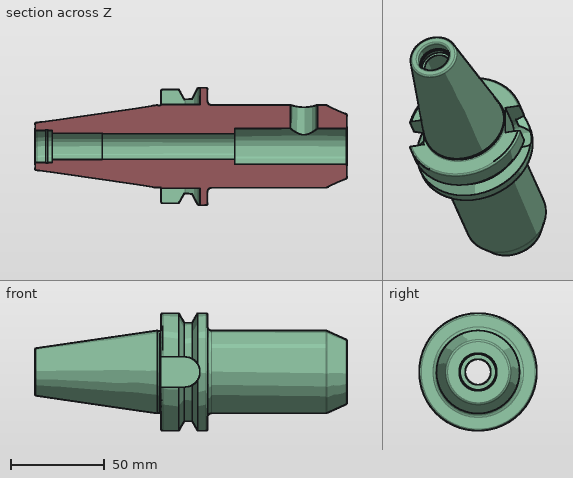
import cadquery as cq
import math


gauge_diameter = 44.45
taper_ratio = 7 / 24
shank_length = 65.4
shank_start = -shank_length
shank_end_diameter = gauge_diameter - shank_length * taper_ratio
shank_rounding = 1.0

relief_diameter = 44.0
relief_run_in = 0.5
relief_run_in_rounding = 1.0
relief_rounding = 0.5

flange_diameter = 63.0
flange_start = 2.0
flange_end = 27.0
flange_rounding = 1.0
groove_center = 16.6
groove_mouth = 10.0
groove_wall_angle = 30.0
groove_floor_diameter = 53.0

slot_width = 16.1
slot_end = 22.9
slot_floor = 22.5

total_length = 167.0
nose_end = shank_start + total_length
body_diameter = gauge_diameter
neck_fillet = 2.0
nose_cone_length = 11.2
nose_end_diameter = 34.3
nose_rounding = 1.2
cone_rounding = 1.0

pilot_diameter = 17.0
pilot_depth = 9.2
pilot_mouth_rounding = 1.0
ring_groove_diameter = 17.6
ring_groove_offset = 5.9
ring_groove_width = 1.1
thread_diameter = 13.84
thread_depth = 36.0
through_diameter = 13.5

tool_diameter = 19.05
tool_mouth_diameter = 20.25
tool_mouth_chamfer = (tool_mouth_diameter - tool_diameter) / 2
tool_depth = 60.0

screw_diameter = 14.35
screw_position = 78.5


def unit_vector(start, end):
    """Return the unit vector that points from start to end."""
    length = math.dist(start, end)
    return ((end[0] - start[0]) / length, (end[1] - start[1]) / length)


def revolve_profile(corners):
    """Revolve a profile about X.

    Each corner is (x, diameter) or (x, diameter, rounding radius).
    The first and the last corner lie on the axis.
    """
    points = [(corner[0], corner[1] / 2) for corner in corners]
    profile = cq.Workplane("XZ").moveTo(*points[0])
    for index in range(1, len(corners)):
        x, radius = points[index]
        if len(corners[index]) == 2:
            profile = profile.lineTo(x, radius)
            continue
        rounding = corners[index][2]
        back = unit_vector(points[index], points[index - 1])
        ahead = unit_vector(points[index], points[index + 1])
        half_angle = math.acos(back[0] * ahead[0] + back[1] * ahead[1]) / 2
        setback = rounding / math.tan(half_angle)
        to_middle = rounding / math.sin(half_angle) - rounding
        inward = unit_vector((0, 0), (back[0] + ahead[0], back[1] + ahead[1]))
        arc_start = (x + setback * back[0], radius + setback * back[1])
        arc_middle = (x + to_middle * inward[0], radius + to_middle * inward[1])
        arc_end = (x + setback * ahead[0], radius + setback * ahead[1])
        profile = profile.lineTo(*arc_start).threePointArc(arc_middle, arc_end)
    return profile.close().revolve(360, (0, 0, 0), (1, 0, 0))


def make_holder():
    """Make the solid outside shape of the holder."""
    half_mouth = groove_mouth / 2
    wall_depth = (flange_diameter - groove_floor_diameter) / 2
    half_floor = half_mouth - wall_depth * math.tan(math.radians(groove_wall_angle))
    return revolve_profile([
        (shank_start, 0),
        (shank_start, shank_end_diameter, shank_rounding),
        (0, gauge_diameter),
        (relief_run_in, relief_diameter, relief_run_in_rounding),
        (flange_start, relief_diameter, relief_rounding),
        (flange_start, flange_diameter, flange_rounding),
        (groove_center - half_mouth, flange_diameter),
        (groove_center - half_floor, groove_floor_diameter),
        (groove_center + half_floor, groove_floor_diameter),
        (groove_center + half_mouth, flange_diameter),
        (flange_end, flange_diameter, flange_rounding),
        (flange_end, body_diameter, neck_fillet),
        (nose_end - nose_cone_length, body_diameter, cone_rounding),
        (nose_end, nose_end_diameter, nose_rounding),
        (nose_end, 0),
    ])


def make_bore():
    """Make the stepped hole that runs along the axis."""
    pilot_end = shank_start + pilot_depth
    thread_end = shank_start + thread_depth
    ring_groove_start = shank_start + ring_groove_offset
    ring_groove_end = ring_groove_start + ring_groove_width
    tool_start = nose_end - tool_depth
    return revolve_profile([
        (shank_start, 0),
        (shank_start, pilot_diameter),
        (ring_groove_start, pilot_diameter),
        (ring_groove_start, ring_groove_diameter),
        (ring_groove_end, ring_groove_diameter),
        (ring_groove_end, pilot_diameter),
        (pilot_end, pilot_diameter),
        (pilot_end, thread_diameter),
        (thread_end, thread_diameter),
        (thread_end, through_diameter),
        (tool_start, through_diameter),
        (tool_start, tool_diameter),
        (nose_end - tool_mouth_chamfer, tool_diameter),
        (nose_end, tool_mouth_diameter),
        (nose_end, 0),
    ])


def make_drive_slot(side):
    """Make one round-ended slot on the +Y (side = 1) or -Y (side = -1) flank."""
    round_center = slot_end - slot_width / 2
    straight_length = round_center - flange_start
    depth = flange_diameter / 2
    floor = cq.Workplane("XZ", origin=(round_center, side * slot_floor, 0))
    rounded = floor.circle(slot_width / 2).extrude(-side * depth)
    straight = floor.center(-straight_length / 2, 0).rect(straight_length, slot_width)
    return straight.extrude(-side * depth).union(rounded)


def make_screw_hole():
    """Make the radial hole from +Y into the tool bore."""
    plane = cq.Workplane("XZ", origin=(screw_position, 0, 0))
    return plane.circle(screw_diameter / 2).extrude(-body_diameter)


def round_pilot_mouth(holder):
    """Round the edge where the pilot bore meets the shank end face."""
    mouth = cq.selectors.RadiusNthSelector(0)
    return holder.faces("<X").edges(mouth).fillet(pilot_mouth_rounding)


result = make_holder().cut(make_bore()).cut(make_screw_hole())
result = round_pilot_mouth(result)
for side in (-1, 1):
    result = result.cut(make_drive_slot(side))